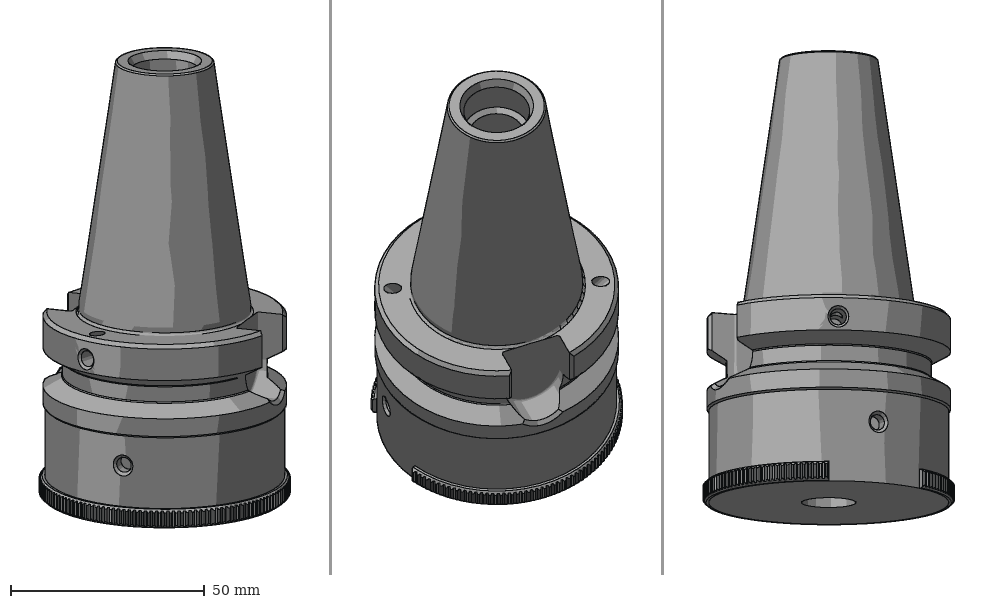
import cadquery as cq
import math


cutter_overrun = 1.0

total_height = 116.4
gauge_z = 51.0
gauge_radius = 44.45 / 2
taper_rate = 7 / 24
top_radius = gauge_radius - (total_height - gauge_z) * taper_rate / 2
top_chamfer = 0.4
root_fillet = 0.7

flange_radius = 31.5
gauge_to_flange_top = 2.0
gauge_to_flange_bottom = 27.0
flange_top_z = gauge_z - gauge_to_flange_top
flange_bottom_z = gauge_z - gauge_to_flange_bottom
flange_top_chamfer = 1.0
flange_bottom_chamfer = 0.5
gauge_to_groove = 16.6
groove_center_z = gauge_z - gauge_to_groove
groove_floor_radius = 26.5
groove_floor_half_width = 2.25
groove_corner_fillet = 0.4
groove_side_angle = math.radians(30)
groove_side_rise = (flange_radius - groove_floor_radius) * math.tan(groove_side_angle)
groove_half_width = groove_floor_half_width + groove_side_rise

nose_radius = 31.0

bore_radius = 7.0
socket_radius = 8.5
socket_depth = 9.5
socket_tip_angle = math.radians(118)
socket_tip_depth = (socket_radius - bore_radius) / math.tan(socket_tip_angle / 2)
mouth_radius = 9.5
mouth_depth = 2.0

slot_half_width = 8.05
slot_floor_x = 22.6
slot_bottom_z = 28.3
slot_center_z = slot_bottom_z + slot_half_width
slot_floor_fillet = 0.8
slot_edge_chamfer = 1.0

flange_hole_angles = (250, 70)
flange_screw_z = 43.1
flange_screw_radius = 2.1
flange_screw_depth = 15.0
coolant_radius = 1.75
coolant_circle_radius = 26.9
coolant_tilt = 40
coolant_length = 9.0

nose_hole_angles = (270, 90)
nose_screw_z = 16.0
nose_screw_radius = 2.0
nose_screw_depth = 4.0
screw_countersink_radius = 2.8

ring_height = 5.0
ring_radius = 32.5
ring_chamfer = 0.8
ring_gap_half_angle = 24.4
tooth_count = 140
tooth_depth = 0.4
tooth_crest_share = 0.3
tooth_root_share = 0.3


def holder_blank():
    """Solid of revolution: nose, plain flange and taper shank."""
    fillet_arc_mid = root_fillet * (1 - math.sqrt(0.5))
    profile = (
        cq.Workplane("XZ")
        .moveTo(0, 0)
        .lineTo(nose_radius, 0)
        .lineTo(nose_radius, flange_bottom_z)
        .lineTo(flange_radius, flange_bottom_z)
        .lineTo(flange_radius, flange_top_z)
        .lineTo(gauge_radius + root_fillet, flange_top_z)
        .threePointArc(
            (gauge_radius + fillet_arc_mid, flange_top_z + fillet_arc_mid),
            (gauge_radius, flange_top_z + root_fillet),
        )
        .lineTo(gauge_radius, gauge_z)
        .lineTo(top_radius, total_height)
        .lineTo(0, total_height)
        .close()
    )
    return profile.revolve(360, (0, 0, 0), (0, 1, 0)).faces(">Z").edges().chamfer(top_chamfer)


def drive_slot():
    """Slot cutter on the +X side: round lower end, open at the top, rounded floor edge."""
    cutter = (
        cq.Workplane("YZ", origin=(slot_floor_x, 0, 0))
        .moveTo(-slot_half_width, slot_center_z)
        .threePointArc((0, slot_bottom_z), (slot_half_width, slot_center_z))
        .lineTo(slot_half_width, total_height)
        .lineTo(-slot_half_width, total_height)
        .close()
        .extrude(flange_radius)
    )
    return cutter.faces("<X").edges("not >Z").fillet(slot_floor_fillet)


def slot_rim_selector(side):
    """Box around the slot edges on the flange cylinder, on the side given by -1 or +1."""
    inner = side * (flange_radius - 2 * slot_edge_chamfer)
    outer = side * (flange_radius + slot_edge_chamfer)
    half_width = slot_half_width + slot_edge_chamfer
    return cq.selectors.BoxSelector(
        (inner, -half_width, flange_bottom_z + flange_bottom_chamfer),
        (outer, half_width, flange_top_z - slot_edge_chamfer / 2),
    )


def flange_groove():
    """V groove around the flange, with a flat floor and rounded inner corners."""
    groove = (
        cq.Workplane("XZ")
        .moveTo(groove_floor_radius, groove_center_z - groove_floor_half_width)
        .lineTo(flange_radius, groove_center_z - groove_half_width)
        .lineTo(flange_radius + cutter_overrun, groove_center_z - groove_half_width)
        .lineTo(flange_radius + cutter_overrun, groove_center_z + groove_half_width)
        .lineTo(flange_radius, groove_center_z + groove_half_width)
        .lineTo(groove_floor_radius, groove_center_z + groove_floor_half_width)
        .close()
        .revolve(360, (0, 0, 0), (0, 1, 0))
    )
    return groove.edges(cq.selectors.RadiusNthSelector(0)).fillet(groove_corner_fillet)


def edge_cutter(z, inward, outer_radius, chamfer):
    """Ring that chamfers an outer edge at height z; inward is -1 or +1 along Z."""
    return (
        cq.Workplane("XZ")
        .moveTo(outer_radius - chamfer, z)
        .lineTo(outer_radius, z + inward * chamfer)
        .lineTo(outer_radius + chamfer, z + inward * chamfer)
        .lineTo(outer_radius + chamfer, z)
        .close()
        .revolve(360, (0, 0, 0), (0, 1, 0))
    )


def axial_bore():
    """Through bore with the wider socket and its tapered mouth at the top."""
    socket_floor_z = total_height - socket_depth
    return (
        cq.Workplane("XZ")
        .moveTo(0, 0)
        .lineTo(bore_radius, 0)
        .lineTo(bore_radius, socket_floor_z - socket_tip_depth)
        .lineTo(socket_radius, socket_floor_z)
        .lineTo(socket_radius, total_height - mouth_depth)
        .lineTo(mouth_radius, total_height)
        .lineTo(0, total_height)
        .close()
        .revolve(360, (0, 0, 0), (0, 1, 0))
    )


def screw_hole(angle, z, surface_radius, hole_radius, depth):
    """Blind radial hole with a 45 degree countersink at the outer surface."""
    sink = screw_countersink_radius - hole_radius
    axis_profile = (
        cq.Workplane("XY")
        .moveTo(surface_radius - depth, 0)
        .lineTo(surface_radius - depth, hole_radius)
        .lineTo(surface_radius - sink, hole_radius)
        .lineTo(surface_radius, screw_countersink_radius)
        .lineTo(surface_radius + cutter_overrun, screw_countersink_radius)
        .lineTo(surface_radius + cutter_overrun, 0)
        .close()
    )
    hole = axis_profile.revolve(360, (0, 0, 0), (1, 0, 0))
    return hole.rotate((0, 0, 0), (0, 0, 1), angle).translate((0, 0, z))


def coolant_hole(angle):
    """Hole from the flange top, sloping down and inward."""
    return (
        cq.Workplane("XY")
        .circle(coolant_radius)
        .extrude(coolant_length, both=True)
        .rotate((0, 0, 0), (0, 1, 0), coolant_tilt)
        .translate((coolant_circle_radius, 0, flange_top_z))
        .rotate((0, 0, 0), (0, 0, 1), angle)
    )


def build_holder():
    body = holder_blank()
    slot = drive_slot()
    body = body.cut(slot).cut(slot.mirror("YZ"))
    for side in (-1, 1):
        body = body.edges(slot_rim_selector(side)).chamfer(slot_edge_chamfer)
    body = body.cut(edge_cutter(flange_top_z, -1, flange_radius, flange_top_chamfer))
    body = body.cut(edge_cutter(flange_bottom_z, 1, flange_radius, flange_bottom_chamfer))
    body = body.cut(flange_groove()).cut(axial_bore())
    for angle in flange_hole_angles:
        body = body.cut(coolant_hole(angle))
        body = body.cut(
            screw_hole(angle, flange_screw_z, flange_radius, flange_screw_radius, flange_screw_depth)
        )
    for angle in nose_hole_angles:
        body = body.cut(screw_hole(angle, nose_screw_z, nose_radius, nose_screw_radius, nose_screw_depth))
    return body


def polar_point(radius, degrees):
    return (radius * math.cos(math.radians(degrees)), radius * math.sin(math.radians(degrees)))


def knurl_outline():
    """Corner points of all the teeth; one crest is centred on -X."""
    pitch = 360 / tooth_count
    crest = pitch * tooth_crest_share / 2
    root = pitch * (1 - tooth_root_share) / 2
    root_radius = ring_radius - tooth_depth
    points = []
    for tooth in range(tooth_count):
        middle = 180 + tooth * pitch
        points.append(polar_point(root_radius, middle - root))
        points.append(polar_point(ring_radius, middle - crest))
        points.append(polar_point(ring_radius, middle + crest))
        points.append(polar_point(root_radius, middle + root))
    return points


def build_ring():
    toothed = cq.Workplane("XY").polyline(knurl_outline()).close().circle(nose_radius).extrude(ring_height)
    envelope = cq.Workplane("XY").circle(ring_radius).extrude(ring_height).edges().chamfer(ring_chamfer)
    gap_reach = 2 * ring_radius
    gap = (
        cq.Workplane("XY")
        .polyline(
            [
                (0, 0),
                polar_point(gap_reach, 90 - ring_gap_half_angle),
                polar_point(gap_reach, 90 + ring_gap_half_angle),
            ]
        )
        .close()
        .extrude(ring_height)
    )
    return toothed.intersect(envelope).cut(gap)


holder = build_holder()
snap_ring = build_ring()
result = cq.Compound.makeCompound([holder.val(), snap_ring.val()])